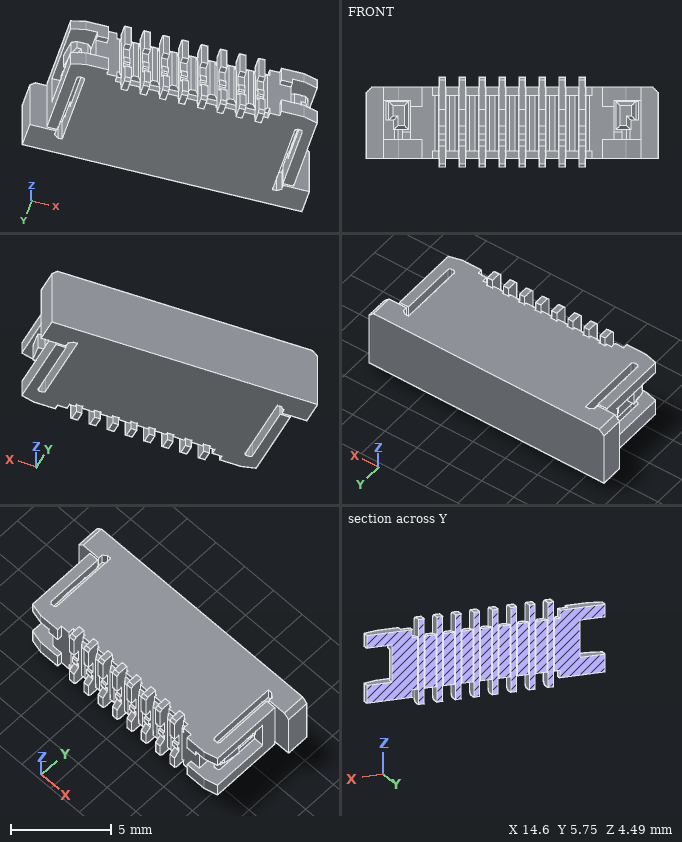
import cadquery as cq


flange_half = 7.3
flange_front = 4.44
rear = 5.75
height = 3.59
flange_chamfer = 0.29
arm_half = 6.44
arm_rear = 4.34
arm_front = 0.03
arm_corner_y = 0.22
arm_slope_x = 5.7
arm_inner = 4.51
middle_front = 0.3

window_floor = 0.96
window_roof = 2.9
window_rear = 3.46
window_inner = 5.1
lip_bottom = 2.6
tunnel_floor = 1.33

slot_outer = 5.88
slot_inner = 5.49
slot_front = 0.88
slot_rear = 4.85
slot_tip_radius = 0.13
slot_rear_outer = 5.93
slot_chamfer_x = 0.22
slot_chamfer_y = 0.16

beam_outer = 5.93
beam_inner = 5.18
beam_bottom = 1.45
beam_top = 2.86
beam_front = 0.7
nose_length = 0.28
nose_inset = 0.2
catch_bottom = 1.93
catch_front_x = 6.18
catch_rear_x = 6.3
catch_rear = 1.88
bump_height = 0.13
bump_front = 2.72
bump_flat_front = 2.85
bump_flat_rear = 3.11
bump_rear = 3.39

contact_count = 8
contact_row = 7.0
pitch = contact_row / (contact_count - 1)
contact_width = 0.32
contact_bottom = -0.42
contact_top = 4.07
contact_rear = 0.7
contact_root = 1.17
contact_chamfer = 0.15
lower_leg_top = 0.63
slope_top = 0.93
step_bottom = 1.24
step_top = 1.64
step_front = 0.2
upper_leg_bottom = 2.47
waist_front = 0.32

recess_half = 3.99
recess_rear = 0.61
rib_bottom = 0.4
rib_top = 3.17
rib_tip_width = 0.26
rib_base_width = 0.63
rib_slope_rear = 0.55
contact_slot_width = 0.36
contact_slot_rear = 0.75

contact_places = [(i - (contact_count - 1) / 2) * pitch for i in range(contact_count)]


def box(x0, x1, y0, y1, z0, z1):
    return cq.Workplane("XY").box(x1 - x0, y1 - y0, z1 - z0, centered=False).translate((x0, y0, z0))


def prism(points, z0, z1):
    """Upright prism on an XY outline."""
    return cq.Workplane("XY").workplane(offset=z0).polyline(points).close().extrude(z1 - z0)


def make_housing():
    """Block with a wide rear flange, narrow gaps behind the arms and a stepped front."""
    right = [
        (arm_inner, middle_front),
        (arm_inner, arm_front),
        (arm_slope_x, arm_front),
        (arm_half, arm_corner_y),
        (arm_half, arm_rear),
        (slot_outer, arm_rear),
        (slot_outer, flange_front),
        (flange_half, flange_front),
        (flange_half, rear),
    ]
    left = [(-x, y) for x, y in reversed(right)]
    body = prism(right + left, 0, height)
    return body.edges("|Y and >Z and (<X or >X)").chamfer(flange_chamfer)


def arm_cuts():
    """Window, lock-beam tunnel and through slot on the +X side."""
    window = box(window_inner, arm_half, 0, window_rear, window_floor, window_roof)
    notch = box(arm_inner, arm_half, 0, middle_front, window_floor, lip_bottom)
    tunnel = box(window_inner, slot_outer, window_rear, flange_front, tunnel_floor, window_roof)
    slot = box(slot_inner, slot_outer, slot_front, arm_rear, 0, height)
    slot = slot.edges("|Z and <Y").fillet(slot_tip_radius)
    slot_end = prism(
        [
            (slot_inner, arm_rear),
            (slot_rear_outer, arm_rear),
            (slot_rear_outer, slot_rear - slot_chamfer_y),
            (slot_rear_outer - slot_chamfer_x, slot_rear),
            (slot_inner, slot_rear),
        ],
        0,
        height,
    )
    return window.union(notch).union(tunnel).union(slot).union(slot_end)


def nose_outline(inset):
    """L-shaped XZ outline of the lock beam nose, shrunk by an inset all round."""
    return [
        (beam_inner + inset, beam_bottom + inset),
        (beam_outer - inset, beam_bottom + inset),
        (beam_outer - inset, catch_bottom + inset),
        (catch_front_x - inset, catch_bottom + inset),
        (catch_front_x - inset, beam_top - inset),
        (beam_inner + inset, beam_top - inset),
    ]


def make_lock_beam():
    """Lock beam on the +X side: an L-shaped bevelled nose, a catch and a small bump."""
    nose_rear = beam_front + nose_length
    beam = box(beam_inner, beam_outer, nose_rear, slot_rear, beam_bottom, beam_top)
    catch = prism(
        [
            (beam_inner, nose_rear),
            (catch_front_x, nose_rear),
            (catch_rear_x, catch_rear),
            (beam_inner, catch_rear),
        ],
        catch_bottom,
        beam_top,
    )
    bump = prism(
        [
            (beam_inner, bump_front),
            (beam_outer, bump_front),
            (beam_outer + bump_height, bump_flat_front),
            (beam_outer + bump_height, bump_flat_rear),
            (beam_outer, bump_rear),
            (beam_inner, bump_rear),
        ],
        catch_bottom,
        beam_top,
    )
    nose = (
        cq.Workplane("XZ", origin=(0, nose_rear, 0))
        .polyline(nose_outline(0))
        .close()
        .workplane(offset=nose_length)
        .polyline(nose_outline(nose_inset))
        .close()
        .loft(ruled=True)
    )
    return beam.union(catch).union(bump).union(nose)


def make_contact(x):
    """Flat contact with a leg above and below the housing and a stepped front."""
    profile = [
        (contact_chamfer, contact_bottom),
        (contact_rear, contact_bottom),
        (contact_rear, rib_bottom),
        (contact_root, rib_bottom),
        (contact_root, rib_top),
        (contact_rear, rib_top),
        (contact_rear, contact_top),
        (contact_chamfer, contact_top),
        (0, contact_top - contact_chamfer),
        (0, upper_leg_bottom),
        (waist_front, upper_leg_bottom),
        (waist_front, step_top),
        (step_front, step_top),
        (step_front, step_bottom),
        (waist_front, step_bottom),
        (waist_front, slope_top),
        (0, lower_leg_top),
        (0, contact_bottom + contact_chamfer),
    ]
    start = x - contact_width / 2
    return cq.Workplane("YZ", origin=(start, 0, 0)).polyline(profile).close().extrude(contact_width)


def contact_clearance(x):
    """Slot around one contact, flaring out between bevelled ribs."""
    half_slot = contact_slot_width / 2
    half_throat = (pitch - rib_base_width) / 2
    half_mouth = (pitch - rib_tip_width) / 2
    slot = box(x - half_slot, x + half_slot, 0, contact_slot_rear, 0, height)
    flare = prism(
        [
            (x - half_mouth, middle_front),
            (x + half_mouth, middle_front),
            (x + half_throat, rib_slope_rear),
            (x + half_throat, recess_rear),
            (x - half_throat, recess_rear),
            (x - half_throat, rib_slope_rear),
        ],
        rib_bottom,
        rib_top,
    )
    return slot.union(flare)


housing = make_housing()
for z0, z1 in ((0, rib_bottom), (rib_top, height)):
    housing = housing.cut(box(-recess_half, recess_half, 0, recess_rear, z0, z1))
for place in contact_places:
    housing = housing.cut(contact_clearance(place))

cuts = arm_cuts()
housing = housing.cut(cuts).cut(cuts.mirror("YZ"))

lock_beam = make_lock_beam()
result = housing.union(lock_beam).union(lock_beam.mirror("YZ"))
for place in contact_places:
    result = result.union(make_contact(place))